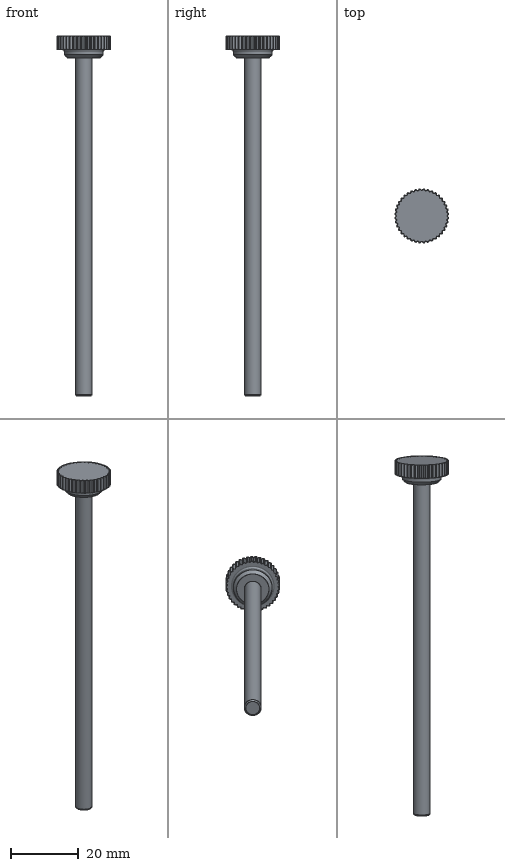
import cadquery as cq
import math

total_length = 106.5

head_diameter = 16.0
head_height = 4.0
head_chamfer = 0.2
collar_diameter = 11.5
collar_height = 2.5
collar_chamfer = 1.0
collar_fillet = 0.5
groove_count = 40
groove_width = 1.0
groove_depth = groove_width / 2

rod_diameter = 5.0
rod_chamfer = 0.4

head_bottom = total_length - head_height
collar_bottom = head_bottom - collar_height


def make_grooved_disc():
    """Disc with V grooves all round its rim, the first one on the X axis."""
    radius = head_diameter / 2
    half_groove_angle = math.asin(groove_width / 2 / radius)
    pitch_angle = 2 * math.pi / groove_count

    def polar_point(distance, angle):
        return (distance * math.cos(angle), distance * math.sin(angle))

    outline = cq.Workplane("XY", origin=(0, 0, head_bottom))
    outline = outline.moveTo(*polar_point(radius, -half_groove_angle))
    for index in range(groove_count):
        groove_angle = index * pitch_angle
        tooth_angle = groove_angle + pitch_angle / 2
        next_groove_start = groove_angle + pitch_angle - half_groove_angle
        outline = outline.lineTo(*polar_point(radius - groove_depth, groove_angle))
        outline = outline.lineTo(*polar_point(radius, groove_angle + half_groove_angle))
        outline = outline.threePointArc(
            polar_point(radius, tooth_angle),
            polar_point(radius, next_groove_start),
        )
    return outline.close().extrude(head_height)


def make_knurled_head():
    """Grooved disc whose teeth are chamfered at both ends."""
    chamfered_blank = (
        cq.Workplane("XY", origin=(0, 0, head_bottom))
        .circle(head_diameter / 2)
        .extrude(head_height)
        .faces("<Z or >Z")
        .chamfer(head_chamfer)
    )
    return make_grooved_disc().intersect(chamfered_blank)


def make_collar():
    """Round collar with a chamfered lower edge and a fillet flaring out to the head."""
    radius = collar_diameter / 2
    fillet_start = head_bottom - collar_fillet
    arc_offset = collar_fillet * (1 - math.sqrt(0.5))
    return (
        cq.Workplane("XZ")
        .moveTo(0, collar_bottom)
        .lineTo(radius - collar_chamfer, collar_bottom)
        .lineTo(radius, collar_bottom + collar_chamfer)
        .lineTo(radius, fillet_start)
        .threePointArc(
            (radius + arc_offset, head_bottom - arc_offset),
            (radius + collar_fillet, head_bottom),
        )
        .lineTo(0, head_bottom)
        .close()
        .revolve(360, (0, 0, 0), (0, 1, 0))
    )


def make_knob():
    """Knurled head and collar in one piece."""
    return make_knurled_head().union(make_collar())


def make_rod():
    """Plain rod, chamfered at its free end, that butts against the collar."""
    return (
        cq.Workplane("XY")
        .circle(rod_diameter / 2)
        .extrude(collar_bottom)
        .faces("<Z")
        .chamfer(rod_chamfer)
    )


knob = make_knob()
rod = make_rod()

result = cq.Compound.makeCompound([knob.val(), rod.val()])